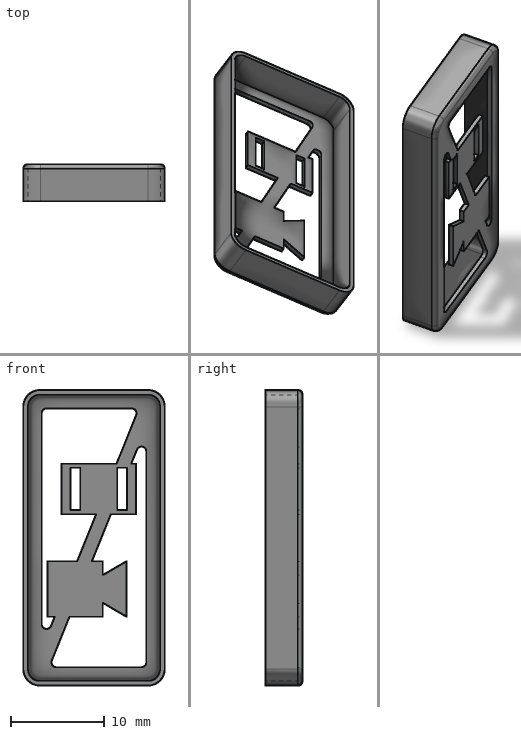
import cadquery as cq
import math

WIDTH = 15.2
DEPTH = 4.0
HEIGHT = 31.7
CORNER_RADIUS = 1.8
WALL = 0.5
PLATE_THICKNESS = 0.5
EDGE_RADIUS = PLATE_THICKNESS

RIM = 2.0
WINDOW_RADIUS = 0.5
BAR_WIDTH = 1.5

BLOCK_WIDTH = 8.0
BLOCK_HEIGHT = 5.45
BLOCK_X = 0.5
BLOCK_Z = 5.23
SLOT_WIDTH = 1.0
SLOT_HEIGHT = 4.5
SLOT_SPACING = 5.0
SLOT_X = 0.5

CAMERA_SIZE = 5.95
CAMERA_X = -2.03
CAMERA_Z = -5.48
LENS_LENGTH = 2.55
LENS_NECK = 3.0

FRONT_Y = -DEPTH / 2
BACK_Y = DEPTH / 2
PLATE_FRONT_Y = BACK_Y - PLATE_THICKNESS


def xz_plane(y):
    """Sketch plane at depth y whose extrusions run toward +Y; its local y is -Z."""
    return cq.Workplane(cq.Plane(origin=(0, y, 0), xDir=(1, 0, 0), normal=(0, 1, 0)))


def slab(width, height, x=0, z=0):
    """Rectangular block with the thickness of the plate."""
    middle_y = PLATE_FRONT_Y + PLATE_THICKNESS / 2
    return cq.Workplane("XY").box(width, PLATE_THICKNESS, height).translate((x, middle_y, z))


def upper_window():
    """Rounded triangular opening above and to the left of the diagonal bar."""
    half_width = WIDTH / 2 - RIM
    half_height = HEIGHT / 2 - RIM
    diagonal = math.hypot(half_width, half_height)
    edge_shift_x = BAR_WIDTH / 2 * diagonal / half_height
    edge_shift_z = BAR_WIDTH / 2 * diagonal / half_width
    corners = [
        (-half_width, -half_height + edge_shift_z),
        (-half_width, half_height),
        (half_width - edge_shift_x, half_height),
    ]
    return (
        xz_plane(PLATE_FRONT_Y)
        .polyline([(x, -z) for x, z in corners])
        .close()
        .extrude(PLATE_THICKNESS)
        .edges("|Y")
        .fillet(WINDOW_RADIUS)
    )


def slotted_block():
    block = slab(BLOCK_WIDTH, BLOCK_HEIGHT, BLOCK_X, BLOCK_Z)
    for side in (-1, 1):
        slot_x = SLOT_X + side * SLOT_SPACING / 2
        block = block.cut(slab(SLOT_WIDTH, SLOT_HEIGHT, slot_x, BLOCK_Z))
    return block


def camera():
    """Square camera body with a lens that widens toward +X."""
    neck_x = CAMERA_X + CAMERA_SIZE / 2
    tip_x = neck_x + LENS_LENGTH
    lens_outline = [
        (neck_x, CAMERA_Z - LENS_NECK / 2),
        (neck_x, CAMERA_Z + LENS_NECK / 2),
        (tip_x, CAMERA_Z + CAMERA_SIZE / 2),
        (tip_x, CAMERA_Z - CAMERA_SIZE / 2),
    ]
    lens = (
        xz_plane(PLATE_FRONT_Y)
        .polyline([(x, -z) for x, z in lens_outline])
        .close()
        .extrude(PLATE_THICKNESS)
    )
    return slab(CAMERA_SIZE, CAMERA_SIZE, CAMERA_X, CAMERA_Z).union(lens)


def rounded_block(inset, start_y, length):
    """Block with rounded corners, set in from the outer outline."""
    return (
        xz_plane(start_y)
        .rect(WIDTH - 2 * inset, HEIGHT - 2 * inset)
        .extrude(length)
        .edges("|Y")
        .fillet(CORNER_RADIUS - inset)
    )


def make_wall():
    """Open frame standing in front of the plate."""
    length = DEPTH - PLATE_THICKNESS
    return rounded_block(0, FRONT_Y, length).cut(rounded_block(WALL, FRONT_Y, length))


def make_plate():
    """Back plate with a rounded edge, two windows, the slotted block and the camera."""
    full_block = rounded_block(0, FRONT_Y, DEPTH).faces(">Y").edges().fillet(EDGE_RADIUS)
    plate = full_block.intersect(slab(WIDTH, HEIGHT))
    window = upper_window()
    for angle in (0, 180):
        plate = plate.cut(window.rotate((0, 0, 0), (0, 1, 0), angle))
    plate = plate.cut(slab(BLOCK_WIDTH, BLOCK_HEIGHT, BLOCK_X, BLOCK_Z))
    return plate.union(slotted_block()).union(camera())


wall = make_wall()
plate = make_plate()

result = cq.Compound.makeCompound([*wall.solids().vals(), *plate.solids().vals()])